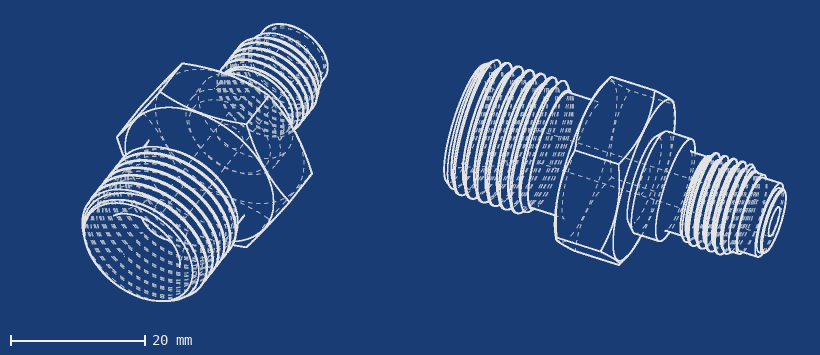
import cadquery as cq
import math

overall_length = 49.28
bore_diameter = 4.6

hex_across_flats = 25.4
hex_start = 19.05
hex_length = 9.4
hex_end = hex_start + hex_length
hex_face_diameter = hex_across_flats - 0.2
hex_chamfer_angle = 30

adapter_neck_radius = 9.05
adapter_neck_fillet = 0.7
adapter_thread_end = 13.45
mouth_cone_radius = 6.52
mouth_cone_half_angle = 20
mouth_lip_radius = 7.96
inner_cone_radius = 3.98
inner_cone_half_angle = 60

collar_radius = 8.0
collar_length = 5.0
collar_chamfer = 1.1
tip_neck_radius = 6.2
tip_neck_fillet = 0.6
tip_thread_start = hex_end + 8.25
tip_thread_end = hex_end + 16.0
nose_shoulder = hex_end + 17.2
nose_radius = 5.77
nose_end = hex_end + 20.05
rim_radius = 5.03
rim_edge_chamfer = 0.2

inch = 25.4
flank_angle = 30
crest_fraction = 0.15
ridge_sink = 0.03
envelope_margin = 0.5
adapter_thread_radius = 20.955 / 2
adapter_thread_pitch = inch / 14
adapter_thread_root = 9.22
adapter_crest_place = 11.2
tip_thread_radius = inch * 9 / 16 / 2
tip_thread_pitch = inch / 18
tip_thread_root = 6.28
tip_crest_place = hex_end + 14.13
entry_chamfer_angle = 37
runout_chamfer_angle = 45


def tan_degrees(angle):
    return math.tan(math.radians(angle))


def revolve_about_y(outline):
    return outline.close().revolve(360, (0, 0, 0), (0, 1, 0))


def thread_ridge(start, end, major_radius, root_radius, pitch, crest_place, start_angle, end_angle):
    """Helical ridge about Y, trimmed by a cone at each end, with its base sunk into the root cylinder.

    On the +X side, one crest passes through Y = crest_place.
    """
    base_radius = root_radius - ridge_sink
    half_crest = crest_fraction * pitch / 2
    half_base = half_crest + (major_radius - base_radius) * tan_degrees(flank_angle)
    first_turn = crest_place - pitch * (math.ceil((crest_place - start) / pitch) + 1)
    turns = math.ceil((end - first_turn) / pitch) + 1
    path = cq.Wire.makeHelix(pitch, turns * pitch, root_radius)
    ridge = (
        cq.Workplane("XZ")
        .moveTo(base_radius, -half_base)
        .lineTo(major_radius, -half_crest)
        .lineTo(major_radius, half_crest)
        .lineTo(base_radius, half_base)
        .close()
        .sweep(cq.Workplane(path), isFrenet=True)
        .rotate((0, 0, 0), (1, 0, 0), -90)
        .translate((0, first_turn, 0))
    )
    envelope_radius = major_radius + envelope_margin
    rise = envelope_radius - root_radius
    envelope = revolve_about_y(
        cq.Workplane("XY")
        .moveTo(0, start)
        .lineTo(root_radius, start)
        .lineTo(envelope_radius, start + rise / tan_degrees(start_angle))
        .lineTo(envelope_radius, end - rise / tan_degrees(end_angle))
        .lineTo(root_radius, end)
        .lineTo(0, end)
    )
    return ridge.intersect(envelope)


def chamfered_hexagon():
    circumscribed_radius = hex_across_flats / 2 / math.cos(math.pi / 6)
    prism = (
        cq.Workplane("XZ", origin=(0, hex_end, 0))
        .polygon(6, 2 * circumscribed_radius)
        .extrude(hex_length)
    )
    face_radius = hex_face_diameter / 2
    drop = hex_length / 2
    apex_radius = face_radius + drop / tan_degrees(hex_chamfer_angle)
    double_cone = revolve_about_y(
        cq.Workplane("XY")
        .moveTo(0, hex_start)
        .lineTo(face_radius, hex_start)
        .lineTo(apex_radius, hex_start + drop)
        .lineTo(face_radius, hex_end)
        .lineTo(0, hex_end)
    )
    return prism.intersect(double_cone)


def adapter_passage():
    """Rounded lip, steep cone, shallow cone and bore, from the large end face to the hexagon's back."""
    angle = math.radians(mouth_cone_half_angle)
    lip_round = (mouth_lip_radius - mouth_cone_radius) / math.cos(angle)
    lip_depth = lip_round * (1 - math.sin(angle))
    middle = (math.pi / 2 + angle) / 2
    lip_middle = (mouth_lip_radius - lip_round * math.cos(middle), lip_round * (1 - math.sin(middle)))
    bore_radius = bore_diameter / 2
    inner_cone_start = lip_depth + (mouth_cone_radius - inner_cone_radius) / math.tan(angle)
    bore_start = inner_cone_start + (inner_cone_radius - bore_radius) / tan_degrees(inner_cone_half_angle)
    return revolve_about_y(
        cq.Workplane("XY")
        .lineTo(mouth_lip_radius, 0)
        .threePointArc(lip_middle, (mouth_cone_radius, lip_depth))
        .lineTo(inner_cone_radius, inner_cone_start)
        .lineTo(bore_radius, bore_start)
        .lineTo(bore_radius, hex_end)
        .lineTo(0, hex_end)
    )


def build_adapter():
    flare_middle = adapter_neck_fillet * (1 - math.sqrt(0.5))
    neck = revolve_about_y(
        cq.Workplane("XY")
        .lineTo(adapter_thread_root, 0)
        .lineTo(adapter_thread_root, adapter_thread_end)
        .lineTo(adapter_neck_radius, adapter_thread_end)
        .lineTo(adapter_neck_radius, hex_start - adapter_neck_fillet)
        .threePointArc(
            (adapter_neck_radius + flare_middle, hex_start - flare_middle),
            (adapter_neck_radius + adapter_neck_fillet, hex_start),
        )
        .lineTo(0, hex_start)
    )
    thread = thread_ridge(
        0,
        adapter_thread_end,
        adapter_thread_radius,
        adapter_thread_root,
        adapter_thread_pitch,
        adapter_crest_place,
        entry_chamfer_angle,
        runout_chamfer_angle,
    )
    return neck.union(chamfered_hexagon()).union(thread).cut(adapter_passage())


def build_tip():
    collar_end = hex_end + collar_length
    flare_middle = tip_neck_fillet * (1 - math.sqrt(0.5))
    bore_radius = bore_diameter / 2
    turned = revolve_about_y(
        cq.Workplane("XY")
        .moveTo(bore_radius, hex_end)
        .lineTo(collar_radius - collar_chamfer, hex_end)
        .lineTo(collar_radius, hex_end + collar_chamfer)
        .lineTo(collar_radius, collar_end)
        .lineTo(tip_neck_radius + tip_neck_fillet, collar_end)
        .threePointArc(
            (tip_neck_radius + flare_middle, collar_end + flare_middle),
            (tip_neck_radius, collar_end + tip_neck_fillet),
        )
        .lineTo(tip_neck_radius, tip_thread_start)
        .lineTo(tip_thread_root, tip_thread_start)
        .lineTo(tip_thread_root, tip_thread_end)
        .lineTo(tip_neck_radius, tip_thread_end)
        .lineTo(tip_neck_radius, nose_shoulder)
        .lineTo(nose_radius, nose_shoulder)
        .lineTo(nose_radius, nose_end)
        .lineTo(rim_radius, nose_end)
        .lineTo(rim_radius, overall_length - rim_edge_chamfer)
        .lineTo(rim_radius - rim_edge_chamfer, overall_length)
        .lineTo(bore_radius, overall_length)
    )
    thread = thread_ridge(
        tip_thread_start,
        tip_thread_end,
        tip_thread_radius,
        tip_thread_root,
        tip_thread_pitch,
        tip_crest_place,
        runout_chamfer_angle,
        entry_chamfer_angle,
    )
    return turned.union(thread)


adapter = build_adapter()
tip = build_tip()
result = cq.Compound.makeCompound([adapter.val(), tip.val()])